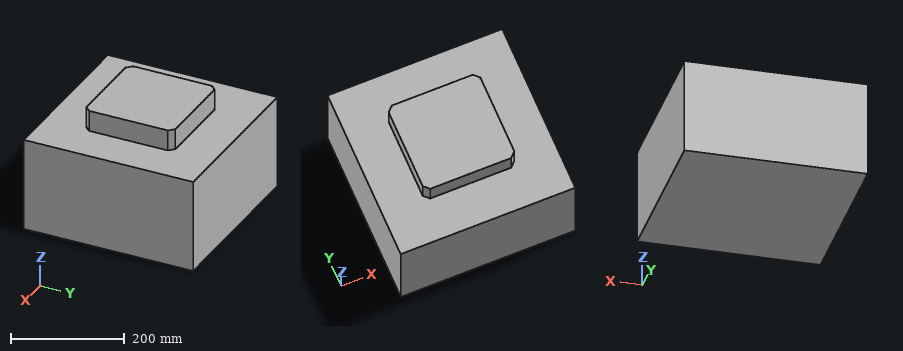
import cadquery as cq

base_side = 334.0
total_height = 222.5
boss_height = 40.7
boss_side = 175.0
corner_chamfer = 10.0

base_height = total_height - boss_height

base = cq.Workplane("XY").box(base_side, base_side, base_height, centered=(True, True, False))

boss = (
    cq.Workplane("XY")
    .workplane(offset=base_height)
    .rect(boss_side, boss_side)
    .extrude(boss_height)
    .edges("|Z")
    .chamfer(corner_chamfer)
)

result = base.union(boss)